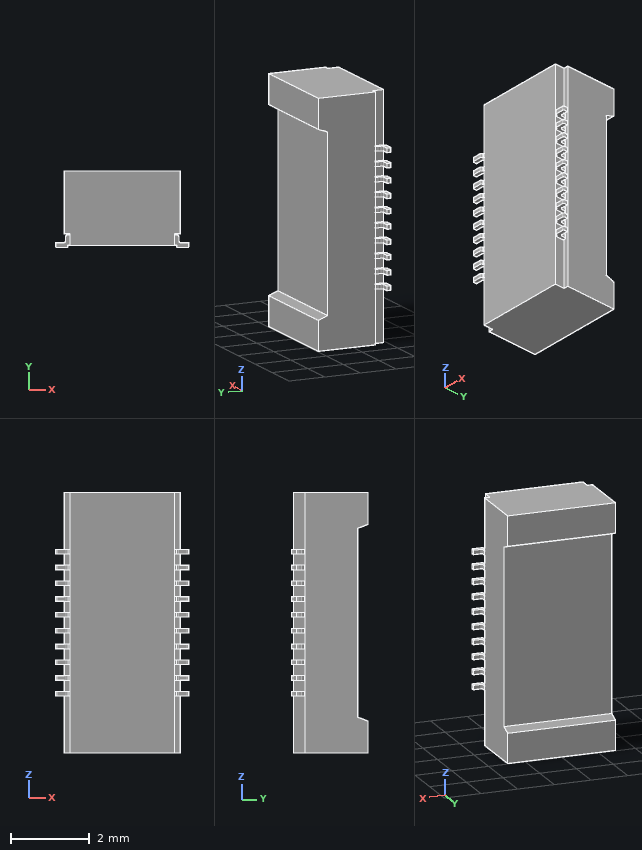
import cadquery as cq

overall_depth = 1.95
body_length = 6.604
body_width = 2.94
base_width = 2.66
standoff = 0.05
ledge_height = 0.35

recess_depth = 0.26
end_block_length = 0.81
recess_slope_length = 0.10

pin_count = 10
pin_pitch = 0.4
pin_width = 0.12
pin_span = 3.38
pin_foot_thickness = 0.13
pin_leg_thickness = 0.11
pin_top_clearance = 0.02
heel_offset = 0.046
heel_radius = 0.044
heel_height = 0.06
shoulder_radius = 0.07
bend_inner_radius = 0.044
tip_radius = 0.044


def make_housing():
    """Full-width body standing on a narrower base."""
    base = cq.Workplane("XY").box(
        base_width, overall_depth - standoff, body_length, centered=(True, False, True)
    ).translate((0, standoff, 0))
    body = cq.Workplane("XY").box(
        body_width, overall_depth - ledge_height, body_length, centered=(True, False, True)
    ).translate((0, ledge_height, 0))
    return base.union(body)


def make_recess():
    """Trapezoidal cutter running the full width of the mating side."""
    opening_half = body_length / 2 - end_block_length
    floor_half = opening_half - recess_slope_length
    floor_y = overall_depth - recess_depth
    return (
        cq.Workplane("YZ")
        .moveTo(overall_depth, -opening_half)
        .lineTo(floor_y, -floor_half)
        .lineTo(floor_y, floor_half)
        .lineTo(overall_depth, opening_half)
        .close()
        .extrude(body_width / 2, both=True)
    )


def round_corner(pin, x, y, radius):
    """Fillet the edge of a pin that runs along Z through (x, y)."""
    corner = cq.selectors.NearestToPointSelector((x, y, 0))
    return pin.edges("|Z").edges(corner).fillet(radius)


def make_pin():
    """One +X terminal centred on z = 0: a leg beside the base and an outward foot."""
    wall_x = base_width / 2
    leg_x = wall_x + pin_leg_thickness
    leg_top_y = ledge_height - pin_top_clearance
    heel_x = wall_x + heel_offset
    tip_x = pin_span / 2
    profile = (
        cq.Workplane("XY")
        .moveTo(wall_x, heel_height)
        .lineTo(heel_x, heel_height)
        .lineTo(heel_x, 0)
        .lineTo(tip_x, 0)
        .lineTo(tip_x, pin_foot_thickness)
        .lineTo(leg_x, pin_foot_thickness)
        .lineTo(leg_x, leg_top_y)
        .lineTo(wall_x, leg_top_y)
        .close()
        .extrude(pin_width / 2, both=True)
    )
    pin = round_corner(profile, tip_x, 0, tip_radius)
    pin = round_corner(pin, leg_x, pin_foot_thickness, bend_inner_radius)
    pin = round_corner(pin, leg_x, leg_top_y, shoulder_radius)
    return round_corner(pin, heel_x, 0, heel_radius)


def add_pins(part):
    """Add both rows of terminals, mirrored about the YZ plane."""
    right_pin = make_pin()
    left_pin = right_pin.mirror("YZ")
    for index in range(pin_count):
        z = (index - (pin_count - 1) / 2) * pin_pitch
        part = part.union(right_pin.translate((0, 0, z)))
        part = part.union(left_pin.translate((0, 0, z)))
    return part


result = add_pins(make_housing().cut(make_recess()))